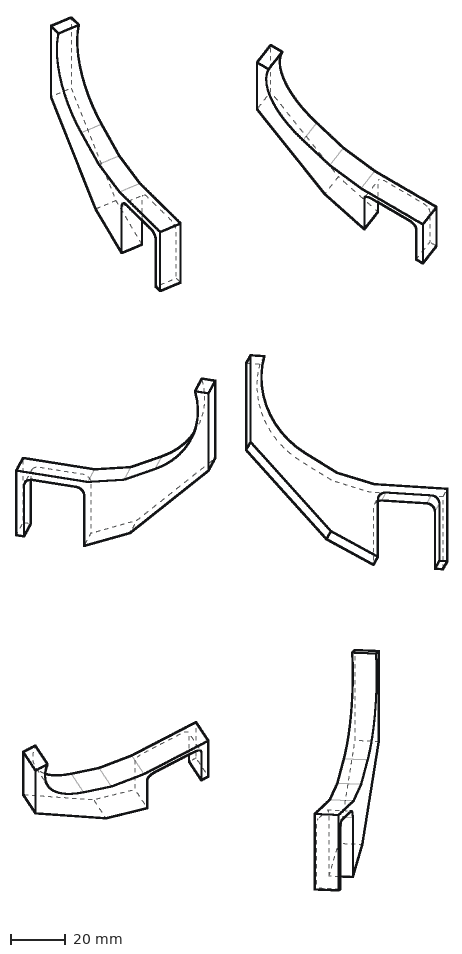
import cadquery as cq
import math

length = 73.45
thickness = 9.0
height = 75.3

wall = 3.0
channel_top = 28.25
channel_width = 22.9
channel_fillet = 3.0
channel_right = length - wall
channel_left = channel_right - channel_width
channel_roof = channel_top - wall

left_edge_bottom = 41.5
underside_corner = (30.0, 8.8)

cradle_radius = 32.7
cradle_neck = 4.1
cradle_center_z = 66.9
ramp_angle = math.radians(30)
ramp_end_x = 32.25
shelf_start_x = 46.1
cradle_center_x = cradle_neck + cradle_radius


def cradle_point(angle):
    """Point on the cradle, with the angle measured from straight down toward -X."""
    x = cradle_center_x - cradle_radius * math.sin(angle)
    z = cradle_center_z - cradle_radius * math.cos(angle)
    return (x, z)


rim_angle = math.acos((cradle_center_z - height) / cradle_radius)
cradle_rim = cradle_point(rim_angle)
cradle_middle = cradle_point((rim_angle + ramp_angle) / 2)
ramp_start = cradle_point(ramp_angle)
ramp_end_z = ramp_start[1] - (ramp_end_x - ramp_start[0]) * math.tan(ramp_angle)

body = (
    cq.Workplane("XZ")
    .moveTo(0, height)
    .lineTo(*cradle_rim)
    .threePointArc(cradle_middle, ramp_start)
    .lineTo(ramp_end_x, ramp_end_z)
    .lineTo(shelf_start_x, channel_top)
    .lineTo(length, channel_top)
    .lineTo(length, 0)
    .lineTo(channel_right, 0)
    .lineTo(channel_right, channel_roof)
    .lineTo(channel_left, channel_roof)
    .lineTo(channel_left, 0)
    .lineTo(*underside_corner)
    .lineTo(0, left_edge_bottom)
    .close()
    .extrude(thickness / 2, both=True)
)

corner_margin = 0.75
channel_corners = cq.selectors.BoxSelector(
    (channel_left - corner_margin, -thickness, channel_roof - corner_margin),
    (channel_right + corner_margin, thickness, channel_roof + corner_margin),
)
result = body.edges("|Y").edges(channel_corners).fillet(channel_fillet)